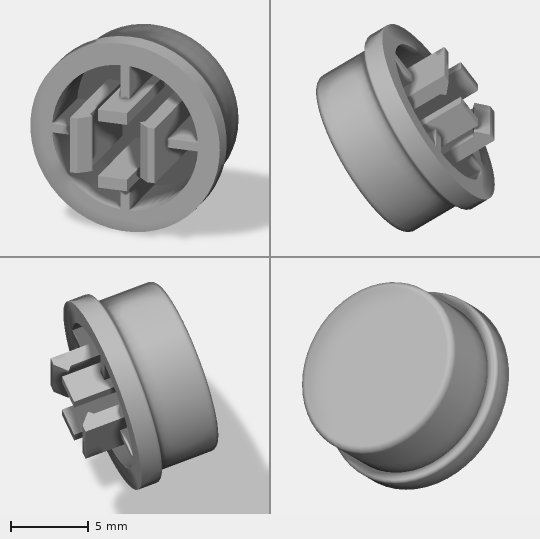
import cadquery as cq

flange_radius = 6.5
flange_thickness = 1.5
flange_fillet = 0.2
cap_radius = 5.82
cap_length = 4.3
cap_fillet = 0.4
bore_radius = 5.0
end_wall = 1.0
rib_width = 0.6
clip_length = 2.4
clip_width = 3.8
clip_outer = 2.9
clip_thickness = 1.0
barb_reach = 0.26
barb_tip_height = 0.65
barb_land = 0.09
barb_land_draft = 0.04
tip_thickness = 0.51
post_width = 2.0
post_inner = 1.9
post_outer = 2.7

back = flange_thickness + cap_length
bore_depth = back - end_wall
clip_inner = clip_outer - clip_thickness


def disc(radius, start, end):
    """Solid cylinder along Y between two Y positions."""
    return cq.Workplane("XZ", origin=(0, start, 0)).circle(radius).extrude(start - end)


def box(x_range, y_range, z_range):
    """Box given by its limits on each axis."""
    (x0, x1), (y0, y1), (z0, z1) = x_range, y_range, z_range
    return cq.Workplane("XY").box(x1 - x0, y1 - y0, z1 - z0, centered=False).translate((x0, y0, z0))


def shell():
    """Flanged cap with a blind bore open at the rim."""
    flange = disc(flange_radius, 0, flange_thickness).faces(">Y").edges().fillet(flange_fillet)
    cap = disc(cap_radius, 0, back).faces(">Y").edges().fillet(cap_fillet)
    return flange.union(cap).cut(disc(bore_radius, 0, bore_depth))


def clip():
    """Snap clip on the +X side with an inward barb near its free end."""
    barb_y = barb_tip_height - clip_length
    shoulder_y = barb_y + barb_land + barb_reach
    return (
        cq.Workplane("XY")
        .moveTo(clip_outer, bore_depth)
        .lineTo(clip_outer, -clip_length)
        .lineTo(clip_outer - tip_thickness, -clip_length)
        .lineTo(clip_inner - barb_reach + barb_land_draft, barb_y)
        .lineTo(clip_inner - barb_reach, barb_y + barb_land)
        .lineTo(clip_inner, shoulder_y)
        .lineTo(clip_inner, bore_depth)
        .close()
        .extrude(clip_width / 2, both=True)
    )


def post():
    """Plain rectangular post on the +Z side."""
    return box(
        (-post_width / 2, post_width / 2),
        (-clip_length, bore_depth),
        (post_inner, post_outer),
    )


def rib(inner):
    """Radial rib on the +X side, from a clip or post out into the bore wall."""
    wall_middle = (bore_radius + cap_radius) / 2
    return box((inner, wall_middle), (0, bore_depth), (-rib_width / 2, rib_width / 2))


side = clip().union(rib(clip_inner))
upright = post().union(rib(post_inner).rotate((0, 0, 0), (0, 1, 0), -90))

result = shell()
for angle in (0, 180):
    for feature in (side, upright):
        result = result.union(feature.rotate((0, 0, 0), (0, 1, 0), angle))